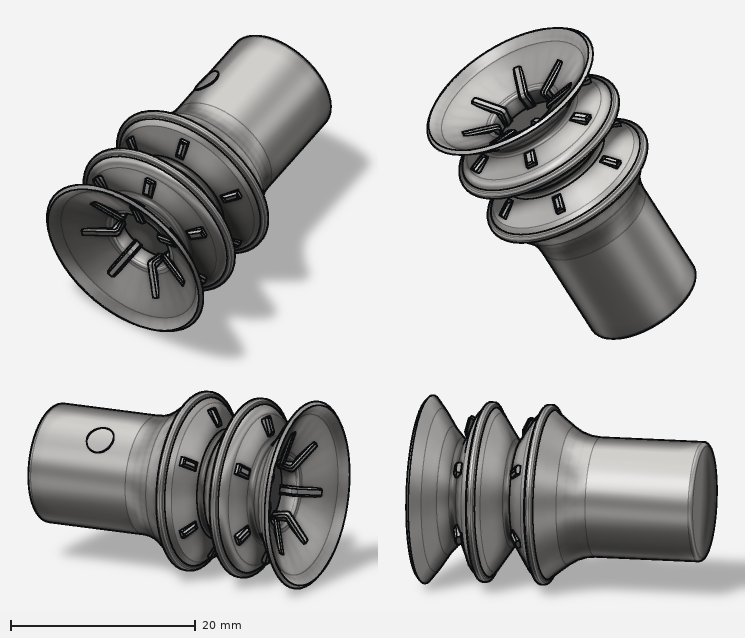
import cadquery as cq
import math

length = 31.0

collar_radius = 6.5
collar_end_round = 0.43
flare_start = 19.13
flare_end = 16.12
flare_angle = math.radians(37.2)

fin_positions = (13.45, 6.98)
fin_radius = 9.8
fin_width = 0.68
fin_tip_round = 0.22
fin_root_radius = 9.2
fin_root_round = 0.15
waist_radius = 5.67
upper_waist = 10.23
lower_waist = 4.2

upper_fold_round_middle = (9.0, 12.7)
upper_fold_cone_start = (8.7, 12.43)
upper_fold_cone_end = (6.05, 10.63)
lower_fold_top_start = (5.95, 9.83)
lower_fold_top_end = (8.65, 7.95)
lower_fold_top_round_middle = (9.0, 7.7)
lower_fold_round_middle = (8.93, 6.08)
lower_fold_cone_start = (8.28, 5.75)
lower_fold_cone_end = (5.98, 4.62)
cup_outside_start = (5.83, 3.8)

cup_outside_points = ((7.0, 2.73), (8.9, 1.43))
lip_diameter = 20.5
lip_land = 0.35
mouth_radius = 9.85
mouth_flare_point = (9.4, 0.45)
cone_wide_end = (8.8, 0.93)
cone_narrow_end = (4.43, 3.1)
throat_radius = 3.75
throat_edge_round = 0.3
throat_edge = 3.15
floor = 5.2

fold_rib_count = 6
fold_rib_crest_drop = 0.25
fold_rib_crest_bevel = 0.28
upper_rib_width = 0.95
upper_rib_side = ((12.12, 8.18), (11.62, 8.37), (11.45, 8.28), (10.8, 7.0), (10.88, 6.45), (11.47, 6.45))
lower_rib_width = 1.12
lower_rib_side = ((5.5, 8.0), (5.0, 8.25), (4.8, 8.1), (4.4, 6.6), (4.65, 6.15), (5.42, 6.15))
fold_rib_crest_start = 2

cup_rib_count = 7
cup_rib_width = 1.02
cup_rib_bevel = 0.22
cup_rib_bend_round = 0.45
cup_rib_embed = 0.62
cup_rib_end = (1.77, 6.8)
cup_rib_bend = (3.22, 2.9)
cup_rib_foot = (floor, 3.38)

pad_diameter = 3.1
pad_height = 0.12
pad_position = 23.03
pad_angle = 45.0


def on_arc(center, radius, degrees):
    """Point on a circle in the (radius, Y) half section."""
    angle = math.radians(degrees)
    return (center[0] + radius * math.cos(angle), center[1] + radius * math.sin(angle))


def add_fin(outline, middle):
    """Go around one fin, from its root on the collar side to its root on the lip side."""
    half_width = fin_width / 2
    root_shift = fin_root_round * (1 - math.sqrt(0.5))
    tip_shift = fin_tip_round * (1 - math.sqrt(0.5))
    shoulder = fin_radius - fin_tip_round
    half_tip = half_width - fin_tip_round
    root_bend = (fin_root_radius + root_shift, half_width + root_shift)
    root_top = fin_root_radius + fin_root_round
    tip_bend = (fin_radius - tip_shift, half_width - tip_shift)
    return (
        outline.threePointArc(
            (root_bend[0], middle + root_bend[1]),
            (root_top, middle + half_width),
        )
        .lineTo(shoulder, middle + half_width)
        .threePointArc((tip_bend[0], middle + tip_bend[1]), (fin_radius, middle + half_tip))
        .lineTo(fin_radius, middle - half_tip)
        .threePointArc((tip_bend[0], middle - tip_bend[1]), (shoulder, middle - half_width))
        .lineTo(root_top, middle - half_width)
        .threePointArc(
            (root_bend[0], middle - root_bend[1]),
            (fin_root_radius, middle - half_width - fin_root_round),
        )
    )


def make_body():
    """Revolve the half section around the Y axis; its points are (radius, Y)."""
    upper_fin, lower_fin = fin_positions
    root_offset = fin_width / 2 + fin_root_round

    end_center = (collar_radius - collar_end_round, length - collar_end_round)
    flare_radius = (flare_start - flare_end) / math.sin(flare_angle)
    flare_center = (collar_radius + flare_radius, flare_start)
    flare_degrees = math.degrees(flare_angle)
    outline = (
        cq.Workplane("XY")
        .moveTo(0, floor)
        .lineTo(0, length)
        .lineTo(*on_arc(end_center, collar_end_round, 90))
        .threePointArc(
            on_arc(end_center, collar_end_round, 45),
            on_arc(end_center, collar_end_round, 0),
        )
        .lineTo(collar_radius, flare_start)
        .threePointArc(
            on_arc(flare_center, flare_radius, 180 + flare_degrees / 2),
            on_arc(flare_center, flare_radius, 180 + flare_degrees),
        )
        .lineTo(fin_root_radius, upper_fin + root_offset)
    )

    outline = (
        add_fin(outline, upper_fin)
        .threePointArc(upper_fold_round_middle, upper_fold_cone_start)
        .lineTo(*upper_fold_cone_end)
        .threePointArc((waist_radius, upper_waist), lower_fold_top_start)
        .lineTo(*lower_fold_top_end)
        .threePointArc(lower_fold_top_round_middle, (fin_root_radius, lower_fin + root_offset))
    )

    outline = (
        add_fin(outline, lower_fin)
        .threePointArc(lower_fold_round_middle, lower_fold_cone_start)
        .lineTo(*lower_fold_cone_end)
        .threePointArc((waist_radius, lower_waist), cup_outside_start)
    )

    for point in cup_outside_points:
        outline = outline.lineTo(*point)
    outline = outline.lineTo(lip_diameter / 2, lip_land).lineTo(mouth_radius, 0)

    edge_center = (throat_radius + throat_edge_round, throat_edge + throat_edge_round)
    outline = (
        outline.threePointArc(mouth_flare_point, cone_wide_end)
        .lineTo(*cone_narrow_end)
        .lineTo(*on_arc(edge_center, throat_edge_round, 270))
        .threePointArc(
            on_arc(edge_center, throat_edge_round, 225),
            on_arc(edge_center, throat_edge_round, 180),
        )
        .lineTo(throat_radius, floor)
        .close()
    )
    return outline.revolve(360, (0, 0, 0), (0, 1, 0))


def rib_blank(side, width):
    """Plain rib at the +Z side of the axis."""
    return cq.Workplane("YZ").polyline(side).close().extrude(width / 2, both=True)


def make_fold_rib(side, width):
    """Short rib on the lip side of a fold, with its crest bevelled."""
    start = side[fold_rib_crest_start]
    end = side[fold_rib_crest_start + 1]
    crest_middle = (0, (start[0] + end[0]) / 2, (start[1] + end[1]) / 2)
    return (
        rib_blank(side, width)
        .faces(cq.selectors.NearestToPointSelector(crest_middle))
        .edges("not |X")
        .chamfer(fold_rib_crest_drop, fold_rib_crest_bevel)
    )


def make_cup_rib():
    """Bent rib from the throat floor, along the throat wall and out over the inner cone."""
    back_radius = throat_radius + cup_rib_embed
    side = (
        cup_rib_end,
        cup_rib_bend,
        cup_rib_foot,
        (floor + cup_rib_embed, cup_rib_foot[1]),
        (floor + cup_rib_embed, back_radius),
        (cup_rib_bend[0] + cup_rib_embed, back_radius),
        (cup_rib_end[0] + cup_rib_embed, cup_rib_end[1]),
    )
    bend_edge = cq.selectors.NearestToPointSelector((0, *cup_rib_bend))
    crest_box = cq.selectors.BoxSelector(
        (-cup_rib_width, cup_rib_end[0], cup_rib_bend[1]),
        (cup_rib_width, floor - cup_rib_bend_round, cup_rib_end[1] - cup_rib_embed * 2),
    )
    return (
        rib_blank(side, cup_rib_width)
        .edges(bend_edge)
        .fillet(cup_rib_bend_round)
        .edges(crest_box)
        .edges("not |X")
        .chamfer(cup_rib_bevel)
    )


def add_ring(body, feature, count):
    """Join equally spaced copies of a feature around the Y axis."""
    for index in range(count):
        body = body.union(feature.rotate((0, 0, 0), (0, 1, 0), index * 360 / count))
    return body


def make_pad():
    """Low round pad whose top follows the collar, between the -X and +Z directions."""
    sleeve = (
        cq.Workplane("XZ", origin=(0, pad_position + pad_diameter, 0))
        .circle(collar_radius + pad_height)
        .extrude(2 * pad_diameter)
    )
    post = (
        cq.Workplane("XY", origin=(0, pad_position, collar_radius / 2))
        .circle(pad_diameter / 2)
        .extrude(collar_radius)
        .rotate((0, 0, 0), (0, 1, 0), -pad_angle)
    )
    return sleeve.intersect(post)


result = make_body()
result = add_ring(result, make_fold_rib(upper_rib_side, upper_rib_width), fold_rib_count)
result = add_ring(result, make_fold_rib(lower_rib_side, lower_rib_width), fold_rib_count)
result = add_ring(result, make_cup_rib(), cup_rib_count)
result = result.union(make_pad())